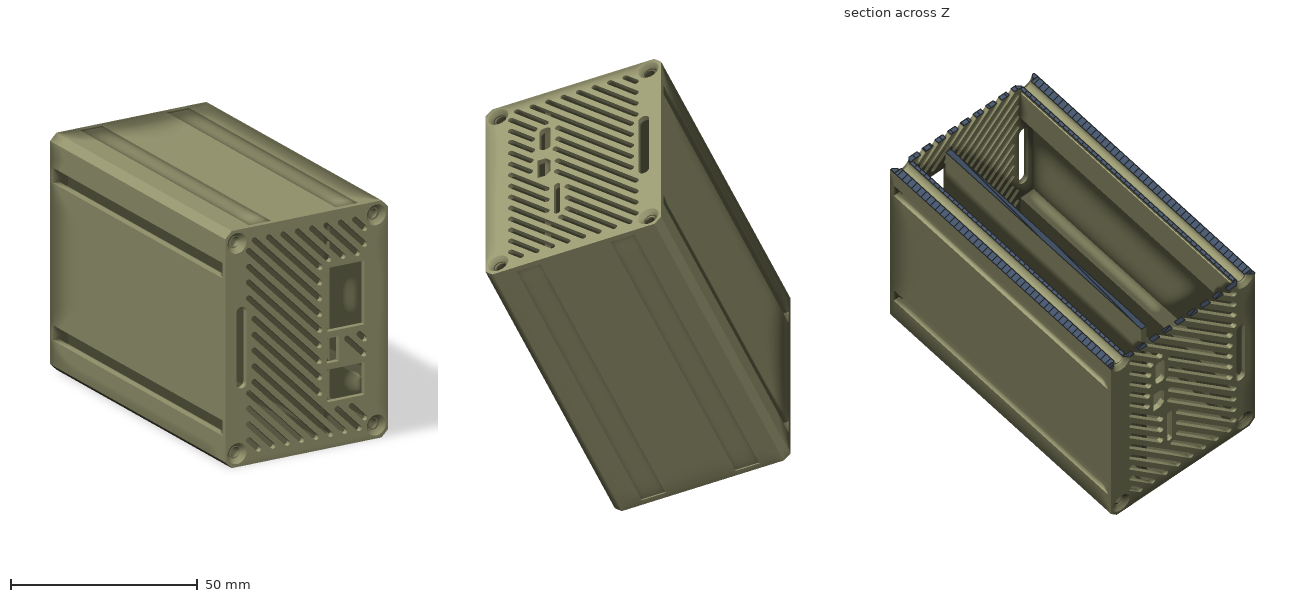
import cadquery as cq
import math

LENGTH = 90.6
WIDTH = 50.8
HEIGHT = 67.4
CORNER_CHAMFER = 2.0
PLATE_THICKNESS = 1.5
HOUSING_LENGTH = LENGTH - 2 * PLATE_THICKNESS
HOUSING_START = -HOUSING_LENGTH / 2
WALL = 1.45

T_SLOT_Z = 22.4
T_SLOT_OPENING = 4.35
T_SLOT_INNER_WIDTH = 7.8
T_SLOT_LIP = 2.0
T_SLOT_DEPTH = 4.6

GROOVE_Y = 13.6
GROOVE_WIDTH = 7.0
GROOVE_DEPTH = 0.45

SCREW_Y = 21.75
SCREW_Z = 29.9
BORE_DIAMETER = 2.8
BORE_INSET = 0.3
BOSS_RADIUS = 2.8
CLEARANCE_DIAMETER = 3.5
COUNTERSINK_DIAMETER = 5.9
COUNTERSINK_ANGLE = 90

BOARD_Y = 9.4
BOARD_THICKNESS = 1.8
BOARD_SETBACK = 3.6
BOARD_HEIGHT = HEIGHT - 2 * WALL
RAIL_THICKNESS = 1.6
RAIL_HEIGHT = 1.8

VENT_WIDTH = 1.5
VENT_PITCH = 3.2
VENT_ANGLE = 45
VENT_FIELD_WIDTH = 37.9
VENT_FIELD_HEIGHT = 61.25
VENT_COUNT_EACH_SIDE = 10
PORT_VENT_MARGIN = 1.3
WINDOW_VENT_MARGIN = 1.6
SHORTEST_VENT_LINE = 2.3

LONG_SLOT_Y, LONG_SLOT_Z, LONG_SLOT_WIDTH, LONG_SLOT_HEIGHT = -20.4, 0.0, 3.1, 23.2
CARD_SLOT_Y, CARD_SLOT_Z, CARD_SLOT_WIDTH, CARD_SLOT_HEIGHT = 4.7, -10.9, 1.8, 12.2
UPPER_PORT_Y, UPPER_PORT_Z, UPPER_PORT_WIDTH, UPPER_PORT_HEIGHT = 8.2, 14.95, 3.3, 8.7
UPPER_PORT_RADIUS = 1.3
LOWER_PORT_Y, LOWER_PORT_Z, LOWER_PORT_WIDTH, LOWER_PORT_HEIGHT = 8.5, 3.4, 3.7, 7.1
LOWER_PORT_CHAMFER = 1.4
TALL_WINDOW_Z, TALL_WINDOW_HEIGHT = 8.5, 18.1
SHORT_WINDOW_Z, SHORT_WINDOW_HEIGHT = -15.95, 9.2
WINDOW_Y, WINDOW_WIDTH = 12.3, 11.6
NARROW_WINDOW_Y, NARROW_WINDOW_Z, NARROW_WINDOW_WIDTH, NARROW_WINDOW_HEIGHT = 8.25, -6.0, 3.7, 7.1


def corner_points(y, z):
    """The four mirrored copies of a (y, z) point."""
    return [(side * y, end * z) for side in (-1, 1) for end in (-1, 1)]


SCREW_POINTS = corner_points(SCREW_Y, SCREW_Z)
BORE_POINTS = corner_points(SCREW_Y - BORE_INSET, SCREW_Z)


def bar(start, length, y, z, width, height):
    """Rectangular bar along X, centred on (y, z)."""
    return (
        cq.Workplane("YZ", origin=(start, 0, 0))
        .center(y, z)
        .rect(width, height)
        .extrude(length)
    )


def housing_bar(y, z, width, height):
    """Bar as long as the housing."""
    return bar(HOUSING_START, HOUSING_LENGTH, y, z, width, height)


def side_slot(side, z, clearance=0.0):
    """T-slot space open to one Y side, grown by clearance to give the walls around it."""
    outer_y = WIDTH / 2
    neck_depth = T_SLOT_DEPTH + clearance
    inner_depth = T_SLOT_DEPTH - T_SLOT_LIP + 2 * clearance
    inner_y = outer_y - T_SLOT_LIP + clearance - inner_depth / 2
    neck_y = outer_y - neck_depth / 2
    neck = housing_bar(side * neck_y, z, neck_depth, T_SLOT_OPENING + 2 * clearance)
    inner = housing_bar(side * inner_y, z, inner_depth, T_SLOT_INNER_WIDTH + 2 * clearance)
    return neck.union(inner)


def screw_boss(y, z):
    """Round boss filled out to the housing corner."""
    center_y = math.copysign((WIDTH / 2 + abs(y)) / 2, y)
    center_z = math.copysign((HEIGHT / 2 + abs(z)) / 2, z)
    reach_y = WIDTH / 2 - abs(y)
    reach_z = HEIGHT / 2 - abs(z)
    boss = (
        cq.Workplane("YZ", origin=(HOUSING_START, y, z))
        .circle(BOSS_RADIUS)
        .extrude(HOUSING_LENGTH)
    )
    toward_side = housing_bar(center_y, z, reach_y, 2 * BOSS_RADIUS)
    toward_end = housing_bar(y, center_z, 2 * BOSS_RADIUS, reach_z)
    corner = housing_bar(center_y, center_z, reach_y, reach_z)
    return boss.union(toward_side).union(toward_end).union(corner)


def make_housing():
    """Hollow extrusion with T-slots, grooves, screw bosses and board guides."""
    outside = housing_bar(0, 0, WIDTH, HEIGHT).edges("|X").chamfer(CORNER_CHAMFER)
    cavity = housing_bar(0, 0, WIDTH - 2 * WALL, HEIGHT - 2 * WALL)

    for side in (-1, 1):
        for z in (-T_SLOT_Z, T_SLOT_Z):
            cavity = cavity.cut(side_slot(side, z, WALL))
    for y, z in SCREW_POINTS:
        cavity = cavity.cut(screw_boss(y, z))

    rail_offset = (BOARD_THICKNESS + RAIL_THICKNESS) / 2
    rail_z = (BOARD_HEIGHT - RAIL_HEIGHT) / 2
    for y in (BOARD_Y - rail_offset, BOARD_Y + rail_offset):
        for z in (-rail_z, rail_z):
            cavity = cavity.cut(housing_bar(y, z, RAIL_THICKNESS, RAIL_HEIGHT))

    body = outside.cut(cavity)
    for side in (-1, 1):
        for z in (-T_SLOT_Z, T_SLOT_Z):
            body = body.cut(side_slot(side, z))
        for y in (-GROOVE_Y, GROOVE_Y):
            groove_z = side * (HEIGHT - GROOVE_DEPTH) / 2
            body = body.cut(housing_bar(y, groove_z, GROOVE_WIDTH, GROOVE_DEPTH))

    bores = (
        cq.Workplane("YZ", origin=(HOUSING_START, 0, 0))
        .pushPoints(BORE_POINTS)
        .circle(BORE_DIAMETER / 2)
        .extrude(HOUSING_LENGTH)
    )
    return body.cut(bores)


def make_board():
    """Flat board held between the guide rails, set back from both end plates."""
    length = HOUSING_LENGTH - 2 * BOARD_SETBACK
    return bar(-length / 2, length, BOARD_Y, 0, BOARD_THICKNESS, BOARD_HEIGHT)


def upright_slot(y, z, width, height):
    """Round-ended opening, one plate thick and starting at X = 0 like every opening."""
    return (
        cq.Workplane("YZ")
        .center(y, z)
        .slot2D(height, width, 90)
        .extrude(PLATE_THICKNESS)
    )


def long_slot():
    """Round-ended slot near the -Y edge, shared by both end plates."""
    return upright_slot(LONG_SLOT_Y, LONG_SLOT_Z, LONG_SLOT_WIDTH, LONG_SLOT_HEIGHT)


def card_slot():
    """Small upright slot below the ports."""
    return upright_slot(CARD_SLOT_Y, CARD_SLOT_Z, CARD_SLOT_WIDTH, CARD_SLOT_HEIGHT)


def plate_bar(y, z, width, height):
    """Rectangular opening."""
    return bar(0, PLATE_THICKNESS, y, z, width, height)


def upper_port():
    """Port opening with four rounded corners."""
    port = plate_bar(UPPER_PORT_Y, UPPER_PORT_Z, UPPER_PORT_WIDTH, UPPER_PORT_HEIGHT)
    return port.edges("|X").fillet(UPPER_PORT_RADIUS)


def lower_port():
    """Port opening with its -Y corners cut off."""
    port = plate_bar(LOWER_PORT_Y, LOWER_PORT_Z, LOWER_PORT_WIDTH, LOWER_PORT_HEIGHT)
    return port.edges("|X and <Y").chamfer(LOWER_PORT_CHAMFER)


def keep_out(opening, margin):
    """Zone around an opening that vent centre lines stay out of."""
    outline = opening.faces("<X").wires().val()
    grown = outline.offset2D(margin + VENT_WIDTH / 2)[0]
    zone = cq.Solid.extrudeLinear(grown, [], cq.Vector(2 * PLATE_THICKNESS, 0, 0))
    return zone.translate(cq.Vector(-PLATE_THICKNESS, 0, 0))


def vents(slope, openings, margin):
    """Round-ended diagonal vents; slope is +1 or -1 for the rise of Z along Y."""
    field = bar(
        -PLATE_THICKNESS,
        2 * PLATE_THICKNESS,
        0,
        0,
        VENT_FIELD_WIDTH - VENT_WIDTH,
        VENT_FIELD_HEIGHT - VENT_WIDTH,
    ).val()
    for opening in openings:
        field = field.cut(keep_out(opening, margin))

    rise = math.tan(math.radians(VENT_ANGLE))
    solids = []
    for number in range(-VENT_COUNT_EACH_SIDE, VENT_COUNT_EACH_SIDE + 1):
        middle_z = number * VENT_PITCH / math.cos(math.radians(VENT_ANGLE))
        line = cq.Edge.makeLine(
            cq.Vector(0, -VENT_FIELD_WIDTH, middle_z - slope * VENT_FIELD_WIDTH * rise),
            cq.Vector(0, VENT_FIELD_WIDTH, middle_z + slope * VENT_FIELD_WIDTH * rise),
        )
        for piece in line.intersect(field).Edges():
            if piece.Length() < SHORTEST_VENT_LINE:
                continue
            middle = piece.Center()
            vent = (
                cq.Workplane("YZ")
                .center(middle.y, middle.z)
                .slot2D(piece.Length() + VENT_WIDTH, VENT_WIDTH, slope * VENT_ANGLE)
                .extrude(PLATE_THICKNESS)
            )
            solids.append(vent.val())
    return cq.Workplane(cq.Compound.makeCompound(solids))


def make_plate(outer_face, slope, openings, margin):
    """End plate from X = 0 with countersunk screw holes entering from the outer face."""
    plate = plate_bar(0, 0, WIDTH, HEIGHT).edges("|X").chamfer(CORNER_CHAMFER)
    plate = (
        plate.faces(outer_face)
        .workplane(origin=(0, 0, 0))
        .pushPoints(SCREW_POINTS)
        .cskHole(CLEARANCE_DIAMETER, COUNTERSINK_DIAMETER, COUNTERSINK_ANGLE)
    )
    for opening in openings:
        plate = plate.cut(opening)
    return plate.cut(vents(slope, openings, margin))


def make_port_plate():
    """Plate at -X with the connector openings."""
    openings = [long_slot(), card_slot(), upper_port(), lower_port()]
    return make_plate("<X", 1, openings, PORT_VENT_MARGIN).translate((-LENGTH / 2, 0, 0))


def make_window_plate():
    """Plate at +X with a long slot and three rectangular windows."""
    tall_window = plate_bar(WINDOW_Y, TALL_WINDOW_Z, WINDOW_WIDTH, TALL_WINDOW_HEIGHT)
    short_window = plate_bar(WINDOW_Y, SHORT_WINDOW_Z, WINDOW_WIDTH, SHORT_WINDOW_HEIGHT)
    narrow_window = plate_bar(
        NARROW_WINDOW_Y, NARROW_WINDOW_Z, NARROW_WINDOW_WIDTH, NARROW_WINDOW_HEIGHT
    )
    openings = [long_slot(), tall_window, short_window, narrow_window]
    plate = make_plate(">X", -1, openings, WINDOW_VENT_MARGIN)
    return plate.translate((LENGTH / 2 - PLATE_THICKNESS, 0, 0))


housing = make_housing()
board = make_board()
port_plate = make_port_plate()
window_plate = make_window_plate()

result = cq.Compound.makeCompound(
    [housing.val(), board.val(), port_plate.val(), window_plate.val()]
)